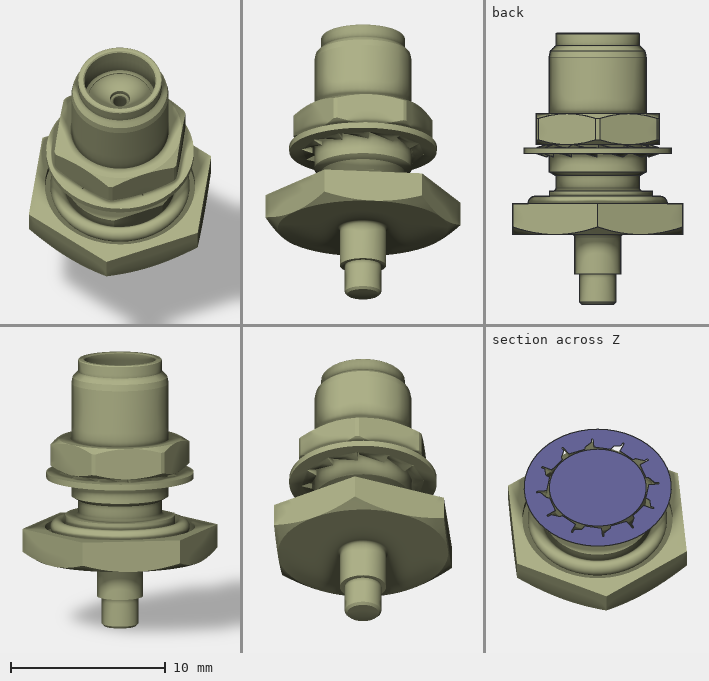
import cadquery as cq
import math

tail_step_z = 1.95
flange_bottom_z = 4.5
flange_top_z = 6.5
collar_top_z = 7.3
thread_bottom_z = 8.55
washer_bottom_z = 9.72
washer_top_z = 10.1
nut_bottom_z = 10.3
nut_top_z = 12.3
thread_top_z = 15.93
bore_floor_z = 15.6
lead_in_top_z = 16.7
total_height = 17.5

bevel_angle = 30

tail_tip_radius = 1.18
tail_radius = 1.49
tail_tip_chamfer = 0.15
tail_fillet = 0.15

flange_across_flats = 11.0
flange_chamfer_radius = flange_across_flats / 2
groove_outer_radius = 4.85
collar_radius = 3.55
collar_flat_x = 3.125

ring_section_radius = 0.475
ring_center_radius = collar_radius + ring_section_radius
groove_floor_z = flange_top_z - ring_section_radius

neck_radius = 2.7
neck_fillet = 0.2
thread_radius = 3.14
lead_in_radius = 3.06
lead_in_bottom_z = lead_in_top_z - (lead_in_radius - neck_radius)
thread_run_out = (thread_radius - neck_radius) * math.tan(math.radians(bevel_angle))
rim_chamfer = 0.06

bore_radius = 2.3
bore_chamfer = 0.08
insulator_radius = 2.05
insulator_recess = 0.07
contact_radius = 0.65
contact_recess = 0.2
contact_chamfer = 0.08
socket_radius = 0.43
socket_chamfer = 0.06
socket_depth = 2.0

nut_across_flats = 7.94
nut_corner_radius = 4.51
nut_countersink_radius = 3.2

washer_radius = 4.7625
tooth_root_distance = 3.83
tooth_tip_radius = 3.3
tooth_count = 12
tooth_twist = 0.22
tooth_gap = 0.08


def revolve_profile(points):
    """Solid of revolution about Z from (radius, height) points."""
    return cq.Workplane("XZ").polyline(points).close().revolve(360, (0, 0, 0), (0, 1, 0))


def disc(radius, bottom, top):
    return cq.Workplane("XY").workplane(offset=bottom).circle(radius).extrude(top - bottom)


def hex_prism(across_flats, bottom, top):
    """Hexagon with two corners on the Y axis."""
    sides = 6
    half_side_angle = 180 / sides
    corner_diameter = across_flats / math.cos(math.radians(half_side_angle))
    prism = cq.Workplane("XY").workplane(offset=bottom).polygon(sides, corner_diameter)
    return prism.extrude(top - bottom).rotate((0, 0, 0), (0, 0, 1), half_side_angle)


def make_tail():
    stub = disc(tail_tip_radius, 0, tail_step_z).faces("<Z").chamfer(tail_tip_chamfer)
    shank = disc(tail_radius, tail_step_z, flange_bottom_z)
    root = (
        cq.Workplane("XZ")
        .moveTo(0, flange_bottom_z - tail_fillet)
        .lineTo(tail_radius, flange_bottom_z - tail_fillet)
        .radiusArc((tail_radius + tail_fillet, flange_bottom_z), tail_fillet)
        .lineTo(0, flange_bottom_z)
        .close()
        .revolve(360, (0, 0, 0), (0, 1, 0))
    )
    return stub.union(shank).union(root)


def make_flange():
    """Hex flange, corners bevelled underneath, with a ring groove around a flatted collar."""
    flange = hex_prism(flange_across_flats, flange_bottom_z, flange_top_z)
    height = flange_top_z - flange_bottom_z
    bevel_reach = height / math.tan(math.radians(bevel_angle))
    bevel = revolve_profile([
        (0, flange_bottom_z),
        (flange_chamfer_radius, flange_bottom_z),
        (flange_chamfer_radius + bevel_reach, flange_top_z),
        (0, flange_top_z),
    ])
    groove = disc(groove_outer_radius, groove_floor_z, flange_top_z)
    collar = disc(collar_radius, groove_floor_z, collar_top_z)
    keep = cq.Workplane("XY").box(
        collar_radius + collar_flat_x, 2 * collar_radius, total_height, centered=(False, True, False)
    ).translate((-collar_radius, 0, 0))
    return flange.intersect(bevel).cut(groove).union(collar.intersect(keep))


def make_barrel():
    """Threaded barrel with a plain neck at each end."""
    return (
        cq.Workplane("XZ")
        .moveTo(0, collar_top_z)
        .lineTo(neck_radius + neck_fillet, collar_top_z)
        .radiusArc((neck_radius, collar_top_z + neck_fillet), neck_fillet)
        .lineTo(neck_radius, thread_bottom_z - thread_run_out)
        .lineTo(thread_radius, thread_bottom_z)
        .lineTo(thread_radius, thread_top_z)
        .lineTo(lead_in_radius, lead_in_bottom_z)
        .lineTo(neck_radius, lead_in_top_z)
        .lineTo(neck_radius, total_height - rim_chamfer)
        .lineTo(neck_radius - rim_chamfer, total_height)
        .lineTo(0, total_height)
        .close()
        .revolve(360, (0, 0, 0), (0, 1, 0))
    )


def make_mating_cavity():
    """Bore, insulator step, and the recess with the chamfered socket contact inside it."""
    insulator_z = bore_floor_z - insulator_recess
    lip_z = insulator_z - contact_recess
    return revolve_profile([
        (0, lip_z - socket_depth),
        (socket_radius, lip_z - socket_depth),
        (socket_radius, lip_z - socket_chamfer),
        (socket_radius + socket_chamfer, lip_z),
        (contact_radius - contact_chamfer, lip_z),
        (contact_radius, lip_z - contact_chamfer),
        (contact_radius, insulator_z),
        (insulator_radius, insulator_z),
        (insulator_radius, bore_floor_z),
        (bore_radius, bore_floor_z),
        (bore_radius, total_height - bore_chamfer),
        (bore_radius + bore_chamfer, total_height),
        (0, total_height),
    ])


def make_nut():
    """Hex nut bevelled on both faces, corners rounded, countersunk on top around the thread."""
    face_radius = nut_across_flats / 2
    bevel_height = (nut_corner_radius - face_radius) * math.tan(math.radians(bevel_angle))
    countersink_depth = nut_countersink_radius - thread_radius
    envelope = revolve_profile([
        (neck_radius, nut_bottom_z),
        (face_radius, nut_bottom_z),
        (nut_corner_radius, nut_bottom_z + bevel_height),
        (nut_corner_radius, nut_top_z - bevel_height),
        (face_radius, nut_top_z),
        (nut_countersink_radius, nut_top_z),
        (thread_radius, nut_top_z - countersink_depth),
        (neck_radius, nut_top_z - countersink_depth),
    ])
    return hex_prism(nut_across_flats, nut_bottom_z, nut_top_z).intersect(envelope)


def make_tooth():
    """Washer tooth on +X: flat at its root, twisted so one tip corner rises and the other drops."""
    thickness = washer_top_z - washer_bottom_z
    half_pitch_tangent = math.tan(math.pi / tooth_count)
    tip_x = tooth_tip_radius * math.cos(math.pi / tooth_count)

    def section(x, twist):
        half_width = x * half_pitch_tangent - tooth_gap / 2
        return [
            (-half_width, washer_bottom_z + twist),
            (half_width, washer_bottom_z - twist),
            (half_width, washer_bottom_z - twist + thickness),
            (-half_width, washer_bottom_z + twist + thickness),
        ]

    return (
        cq.Workplane("YZ", origin=(tip_x, 0, 0))
        .polyline(section(tip_x, tooth_twist))
        .close()
        .workplane(offset=tooth_root_distance - tip_x)
        .polyline(section(tooth_root_distance, 0))
        .close()
        .loft(ruled=True)
    )


def make_washer():
    """Ring whose many-sided opening gives each tooth a flat face to stand on."""
    tooth_pitch = 360 / tooth_count
    opening_diameter = 2 * tooth_root_distance / math.cos(math.pi / tooth_count)
    washer = (
        cq.Workplane("XY")
        .workplane(offset=washer_bottom_z)
        .circle(washer_radius)
        .polygon(tooth_count, opening_diameter)
        .extrude(washer_top_z - washer_bottom_z)
    )
    for index in range(tooth_count):
        angle = (index + 0.5) * tooth_pitch
        washer = washer.union(make_tooth().rotate((0, 0, 0), (0, 0, 1), angle))
    return washer


def make_connector():
    """Connector with its nut and lock washer; the washer teeth bite into the nut."""
    connector = make_tail().union(make_flange()).union(make_barrel()).cut(make_mating_cavity())
    return connector.union(make_nut()).union(make_washer())


def make_gasket():
    """O-ring seated on the groove floor against the collar."""
    ring = cq.Solid.makeTorus(ring_center_radius, ring_section_radius)
    return cq.Workplane("XY").newObject([ring.translate(cq.Vector(0, 0, flange_top_z))])


connector = make_connector()
gasket = make_gasket()

result = cq.Compound.makeCompound([connector.solids().val(), gasket.val()])